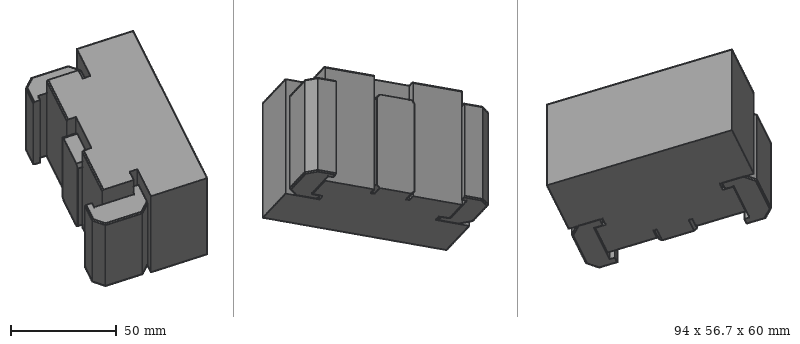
import cadquery as cq

height = 60.0
plate_half_width = 46.9
plate_front = -28.7
neck_half_width = 29.7
tongue_half_width = 35.0
tongue_back = -32.6
tongue_front = -48.8
tongue_chamfer = 0.75

jaw_center_x = 0.2
jaw_outer = plate_half_width
jaw_inner = 35.5
jaw_hook_tip = 31.0
jaw_foot_tip = 32.8
jaw_foot_back = -53.1
jaw_front = -56.7
jaw_back_bevel = 4.4
jaw_front_bevel = 4.8
jaw_bottom = 0.3
jaw_height = 49.3
jaw_edge_chamfer = 0.7

key_center_x = 0.1
key_width = 19.75
key_back = -44.1
key_front = -51.2
key_height = 49.0
key_corner_chamfer = 1.8
key_front_chamfer = 0.4


def box(x_center, width, y_front, y_back, z_height):
    """Box standing on the base plane."""
    return (
        cq.Workplane("XY")
        .center(x_center, (y_front + y_back) / 2)
        .rect(width, y_back - y_front)
        .extrude(z_height)
    )


def make_block():
    plate = box(0, 2 * plate_half_width, plate_front, 0, height)
    neck = box(0, 2 * neck_half_width, tongue_back, plate_front, height)
    tongue = box(0, 2 * tongue_half_width, tongue_front, tongue_back, height)
    tongue = tongue.faces("<Y").edges(">Z").chamfer(tongue_chamfer)
    groove = box(key_center_x, key_width, tongue_front, key_back, height)
    return plate.union(neck).union(tongue).cut(groove)


def make_jaw(side):
    """Jaw on the left (side = -1) or the right (side = 1)."""
    outline = [
        (jaw_hook_tip, plate_front),
        (jaw_outer - jaw_back_bevel, plate_front),
        (jaw_outer, plate_front - jaw_back_bevel),
        (jaw_outer, jaw_front + jaw_front_bevel),
        (jaw_outer - jaw_front_bevel, jaw_front),
        (jaw_foot_tip, jaw_front),
        (jaw_foot_tip, jaw_foot_back),
        (jaw_inner, jaw_foot_back),
        (jaw_inner, tongue_back),
        (jaw_hook_tip, tongue_back),
    ]
    points = [(jaw_center_x + side * x, y) for x, y in outline]
    jaw = cq.Workplane("XY").workplane(offset=jaw_bottom).polyline(points).close().extrude(jaw_height)

    outer_edges = cq.Workplane("XY")
    for start, end in zip(points[1:5], points[2:6]):
        middle = ((start[0] + end[0]) / 2, (start[1] + end[1]) / 2)
        for z in (jaw_bottom, jaw_bottom + jaw_height):
            edge = jaw.edges(cq.NearestToPointSelector((*middle, z)))
            outer_edges = outer_edges.add(edge)
    chamfered = jaw.val().chamfer(jaw_edge_chamfer, None, outer_edges.vals())
    return cq.Workplane(chamfered)


def make_key():
    key = box(key_center_x, key_width, key_front, key_back, key_height)
    key = key.edges("|Y").chamfer(key_corner_chamfer)
    return key.faces("<Y").edges("|Z").chamfer(key_front_chamfer)


result = make_block().union(make_key())
for side in (-1, 1):
    result = result.union(make_jaw(side))